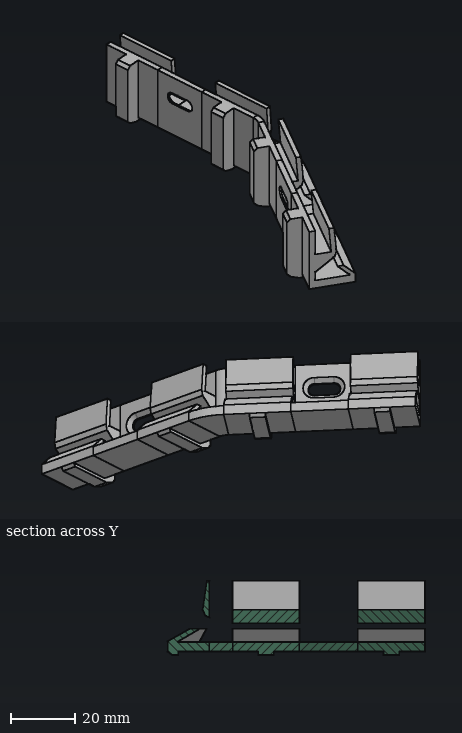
import cadquery as cq
import math

total_length = 120.8
bend_angle = 34.3
bend_radius = 5.0
rail_depth = 15.0
wall_height = 22.1
wall_thickness = 1.9
floor_thickness = 3.0
joiner_length = 18.0

bend_rad = math.radians(bend_angle)
outer_radius = bend_radius + rail_depth
arm_length = (total_length - outer_radius * math.sin(bend_rad)) / (1 + math.cos(bend_rad))
clip_length = (arm_length - joiner_length) / 2

tongue_root_height = 6.2
tongue_shoulder_depth = 8.3
tongue_shoulder_height = 11.1
tongue_bulge_depth = 8.8
tongue_groove_floor = 13.0
tongue_base_inner = 7.1
tongue_top_inner = 6.4
tongue_top_outer = 8.1

lip_height = 7.1
lip_top_outer = 11.1
lip_top_inner = 9.2
lip_foot_inner = 13.2
lip_foot_height = 3.3

post_width = 5.0
post_depth = 5.0
post_chamfer = 1.1
foot_drop = 1.1
foot_front_slope = 1.0
foot_back_chamfer = 0.8
post_bend_depth = 3.9
post_bend_drop = 0.06

slot_length = 10.0
slot_width = 4.0
slot_height = 14.0
countersink_width = 7.0
countersink_depth = 1.3


def extrude_section(points, start, length):
    """Extrude a (depth, height) section along the arm, with depth 0 at the wall front."""
    section = [(bend_radius + depth, height) for depth, height in points]
    return cq.Workplane("YZ", origin=(start, 0, 0)).polyline(section).close().extrude(length)


channel_section = [
    (0, 0),
    (rail_depth, 0),
    (rail_depth, floor_thickness),
    (wall_thickness, floor_thickness),
    (wall_thickness, wall_height),
    (0, wall_height),
]

clip_section = [
    (0, 0),
    (rail_depth, 0),
    (rail_depth, lip_foot_height),
    (lip_top_outer, lip_height),
    (lip_top_inner, lip_height),
    (lip_foot_inner, floor_thickness),
    (wall_thickness, floor_thickness),
    (wall_thickness, tongue_root_height),
    (tongue_shoulder_depth, tongue_shoulder_height),
    (tongue_bulge_depth, tongue_groove_floor),
    (tongue_top_outer, wall_height),
    (tongue_top_inner, wall_height),
    (tongue_base_inner, tongue_groove_floor),
    (wall_thickness, tongue_groove_floor),
    (wall_thickness, wall_height),
    (0, wall_height),
]

post_section = [
    (-post_depth, post_chamfer),
    (-post_depth, wall_height - post_chamfer),
    (-post_depth + post_chamfer, wall_height),
    (wall_thickness, wall_height),
    (wall_thickness, floor_thickness),
    (rail_depth, floor_thickness),
    (rail_depth, 0),
    (rail_depth - foot_back_chamfer, -foot_drop),
    (-foot_front_slope, -foot_drop),
    (-post_bend_depth, -post_bend_drop),
]


def make_clip(start):
    """Clip segment with its post and foot at mid-length."""
    body = extrude_section(clip_section, start, clip_length)
    post_start = start + (clip_length - post_width) / 2
    return body.union(extrude_section(post_section, post_start, post_width))


def make_joiner(start):
    """Plain segment with a screw slot countersunk from the back of the wall."""
    body = extrude_section(channel_section, start, joiner_length)
    middle = start + joiner_length / 2
    wall_back = bend_radius + wall_thickness
    slot = (
        cq.Workplane("XZ", origin=(middle, wall_back, slot_height))
        .slot2D(slot_length, slot_width)
        .extrude(wall_thickness)
    )
    widening = countersink_width - slot_width
    countersink = (
        cq.Workplane("XZ", origin=(middle, wall_back, slot_height))
        .slot2D(slot_length + widening, countersink_width)
        .workplane(offset=countersink_depth)
        .slot2D(slot_length, slot_width)
        .loft(ruled=True)
    )
    return body.cut(slot).cut(countersink)


def make_corner():
    """Curved segment: the plain section swept about the bend axis at the origin."""
    section = [(bend_radius + depth, height) for depth, height in channel_section]
    return cq.Workplane("YZ").polyline(section).close().revolve(bend_angle, (0, 0), (0, 1))


def place(body, angle):
    """Turn a body about the bend axis."""
    return body.rotate((0, 0, 0), (0, 0, 1), angle).val()


clips = []
joiners = []
for arm_start, arm_angle in [(0, 0), (-arm_length, bend_angle)]:
    joiner_start = arm_start + clip_length
    for clip_start in [arm_start, joiner_start + joiner_length]:
        clips.append(place(make_clip(clip_start), arm_angle))
    joiners.append(place(make_joiner(joiner_start), arm_angle))

corner = make_corner()

result = cq.Compound.makeCompound([*clips, *joiners, corner.val()])